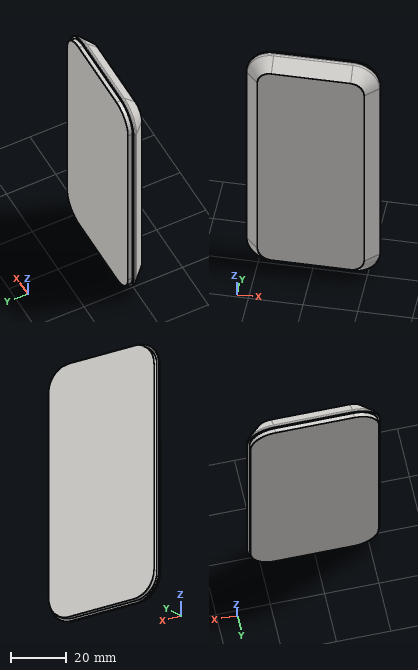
import cadquery as cq

width = 49.0
height = 100.0
depth = 7.8

corner_radius = 10.0
lip_depth = 1.8
lip_inset = 0.9
bevel_size = 5.0
rim_blend_radius = 1.0
body_depth = depth - lip_depth

front_y = -depth / 2
body_back_y = front_y + body_depth
rim_front_y = front_y + bevel_size


def rounded_plate(inset, start_y, thickness):
    """Plate growing toward +Y, its outline moved inward by inset."""
    return (
        cq.Workplane("XZ", origin=(0, start_y, 0))
        .rect(width - 2 * inset, height - 2 * inset)
        .extrude(-thickness)
        .edges("|Y")
        .fillet(corner_radius - inset)
    )


body = rounded_plate(0, front_y, body_depth).faces("<Y").chamfer(bevel_size)

edge_margin = 0.1
rim_front_edges = cq.selectors.BoxSelector(
    (-width, rim_front_y - edge_margin, -height),
    (width, rim_front_y + edge_margin, height),
)
body = body.edges(rim_front_edges).fillet(rim_blend_radius)

lip = rounded_plate(lip_inset, body_back_y, lip_depth)

result = body.union(lip)